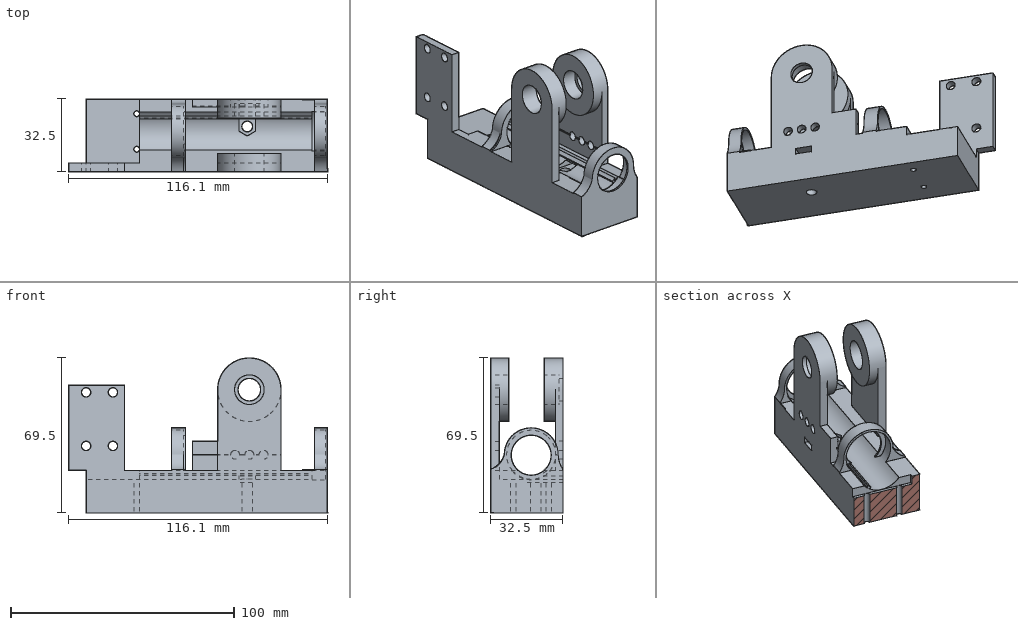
import cadquery as cq
import math

base_length = 108.0
base_width = 32.5
base_height = 19.2

step_length = 23.85
step_floor_z = 15.0
front_wall = 4.0
pin_hole_diameter = 2.5
pin_hole_x = 22.65
pin_hole_ys = (10.1, 26.0)

plate_overhang = 7.8
plate_length = 25.0
plate_top_z = 57.3
plate_hole_diameter = 4.06
plate_hole_xs = (0.0, 12.0)
plate_hole_zs = (30.1, 54.1)

tube_y = 18.2
tube_z = 26.15
cradle_radius = 11.0

relief_length = 1.05
relief_step = 0.25
relief_radius = cradle_radius + relief_step

strap_radius = 12.1
strap_foot_z = base_height + 0.4
flare_reach = 2.0
flare_fall = 3.6
front_strap_x = 38.2
front_strap_width = 6.35
end_strap_width = 5.8
end_strap_x = base_length - end_strap_width
relief_x = end_strap_x - relief_length

rim_thickness = 0.9
rim_bore_diameter = 17.8
rim_bore_z = tube_z - 0.2
front_rim_drop = 0.4

rail_inner_radius = 9.9
rail_upper_y = 25.1
rail_embed = 0.5
rail_lower_angle = math.radians(33)

lug_x = 73.1
lug_diameter = 28.48
lug_radius = lug_diameter / 2
overall_height = 69.54
lug_z = overall_height - lug_radius
front_lug_thickness = 8.2
rear_lug_thickness = 8.45
rear_wall = 3.5
pivot_bore_diameter = 13.25
pivot_hole_diameter = 10.0
rear_bore_depth = 6.5

boss_x = 47.6
boss_top_z = 32.2
slit_height = 0.4
slit_depth = 0.5
wall_hole_diameter = 4.0
wall_hole_spacing = 6.35

nut_x = 72.15
nut_y = 20.3
nut_corner_diameter = 8.5
nut_floor_z = 13.8
nut_slot_top_z = 16.6
nut_hole_diameter = 4.7

corner_lip_length = 0.3
corner_lip_width = 1.4
corner_lip_height = 0.2
rear_lip_x = 97.0
rear_lip_width = 0.25
rear_lip_height = 0.3


def block(x0, x1, y0, y1, z0, z1):
    """Box between two opposite corners."""
    return cq.Workplane("XY").box(x1 - x0, y1 - y0, z1 - z0, centered=False).translate((x0, y0, z0))


def cylinder_x(radius, x0, x1):
    """Cylinder on the tube axis."""
    return cq.Workplane("YZ", origin=(x0, tube_y, tube_z)).circle(radius).extrude(x1 - x0)


def cylinder_y(diameter, x, z, y0, y1):
    """Cylinder along Y."""
    return cq.Workplane("XZ", origin=(x, y0, z)).circle(diameter / 2).extrude(y0 - y1)


def cylinder_z(diameter, x, y, z0, z1):
    """Cylinder along Z."""
    return cq.Workplane("XY", origin=(x, y, z0)).circle(diameter / 2).extrude(z1 - z0)


def make_base():
    base = block(0, base_length, 0, base_width, 0, base_height)
    base = base.cut(block(0, step_length, front_wall, base_width, step_floor_z, base_height))
    base = base.cut(cylinder_x(cradle_radius, step_length, relief_x))
    base = base.cut(cylinder_x(relief_radius, relief_x, base_length - rim_thickness))
    for y in pin_hole_ys:
        base = base.cut(cylinder_z(pin_hole_diameter, pin_hole_x, y, 0, base_height))
    return base


def make_rail():
    """Raised strip on the rear cradle wall: upper side vertical, lower side radial."""
    def on_circle(radius, angle):
        return (tube_y + radius * math.sin(angle), tube_z - radius * math.cos(angle))

    root_radius = cradle_radius + rail_embed
    upper_offset = rail_upper_y - tube_y
    inner_upper_angle = math.asin(upper_offset / rail_inner_radius)
    root_upper_angle = math.asin(upper_offset / root_radius)
    return (
        cq.Workplane("YZ", origin=(step_length, 0, 0))
        .moveTo(*on_circle(root_radius, rail_lower_angle))
        .lineTo(*on_circle(rail_inner_radius, rail_lower_angle))
        .threePointArc(
            on_circle(rail_inner_radius, (rail_lower_angle + inner_upper_angle) / 2),
            on_circle(rail_inner_radius, inner_upper_angle),
        )
        .lineTo(*on_circle(root_radius, root_upper_angle))
        .close()
        .extrude(relief_x - step_length)
    )


def strap_blank(x0, width, drop=0.0):
    """Solid arch outline with flared feet; drop lowers the front flare."""
    front_flare = (tube_y - strap_radius - flare_reach, tube_z - flare_fall - drop)
    return (
        cq.Workplane("YZ", origin=(x0, 0, 0))
        .moveTo(0, base_height)
        .lineTo(0, strap_foot_z - drop / 2)
        .threePointArc(front_flare, (tube_y - strap_radius, tube_z))
        .threePointArc((tube_y, tube_z + strap_radius), (tube_y + strap_radius, tube_z))
        .tangentArcPoint((base_width, strap_foot_z), relative=False)
        .lineTo(base_width, base_height)
        .close()
        .extrude(width)
    )


def rim_bore(x0):
    """Cutter for the smaller bore through a strap rim."""
    bore = cq.Workplane("YZ", origin=(x0, tube_y, rim_bore_z)).circle(rim_bore_diameter / 2)
    return bore.extrude(rim_thickness)


def make_strap(x0, width, rim_drop=0.0):
    """Arch bored to the cradle radius, with a rim at its right end."""
    rim_x = x0 + width - rim_thickness
    arch = strap_blank(x0, width - rim_thickness).cut(cylinder_x(cradle_radius, x0, rim_x))
    rim = strap_blank(rim_x, rim_thickness, rim_drop).cut(rim_bore(rim_x))
    return arch.union(rim)


def make_plate():
    x1 = plate_length - plate_overhang
    plate = block(-plate_overhang, x1, 0, front_wall, base_height, plate_top_z)
    for x in plate_hole_xs:
        for z in plate_hole_zs:
            plate = plate.cut(cylinder_y(plate_hole_diameter, x, z, 0, front_wall))
    return plate


def make_lug(disc_y0, disc_y1, web_y0, web_y1):
    """Round eye on a thinner upright web."""
    web = block(lug_x - lug_radius, lug_x + lug_radius, web_y0, web_y1, base_height, lug_z)
    return web.union(cylinder_y(lug_diameter, lug_x, lug_z, disc_y0, disc_y1))


def make_front_lug():
    lug = make_lug(0, front_lug_thickness, 0, front_wall)
    return lug.cut(cylinder_y(pivot_bore_diameter, lug_x, lug_z, 0, front_lug_thickness))


def make_rear_lug():
    eye_y = base_width - rear_lug_thickness
    wall_y = base_width - rear_wall
    lug = make_lug(eye_y, base_width, wall_y, base_width)
    lug = lug.cut(cylinder_y(pivot_hole_diameter, lug_x, lug_z, eye_y, base_width))
    lug = lug.cut(cylinder_y(pivot_bore_diameter, lug_x, lug_z, eye_y, eye_y + rear_bore_depth))
    lug = lug.union(block(boss_x, lug_x, wall_y, base_width, base_height, boss_top_z))
    slit_z = tube_z - slit_height / 2
    lug = lug.cut(
        block(boss_x, lug_x + lug_radius, wall_y, wall_y + slit_depth, slit_z, slit_z + slit_height)
    )
    for step in (-1, 0, 1):
        x = lug_x + step * wall_hole_spacing
        lug = lug.cut(cylinder_y(wall_hole_diameter, x, tube_z, wall_y, base_width))
    return lug


def make_nut_trap():
    """Hexagonal pocket, corner to the front, with a slot to the rear face and a through hole."""
    pocket = (
        cq.Workplane("XY")
        .polygon(6, nut_corner_diameter)
        .extrude(nut_slot_top_z - nut_floor_z)
        .rotate((0, 0, 0), (0, 0, 1), 30)
        .translate((nut_x, nut_y, nut_floor_z))
    )
    half_flats = nut_corner_diameter / 2 * math.cos(math.pi / 6)
    slot = block(nut_x - half_flats, nut_x + half_flats, nut_y, base_width, nut_floor_z, nut_slot_top_z)
    hole = cylinder_z(nut_hole_diameter, nut_x, nut_y, 0, nut_floor_z)
    return pocket.union(slot).union(hole)


def make_lips():
    """Small lip at the lower front corner and a thin lip along the rear top edge."""
    corner_lip = block(
        base_length, base_length + corner_lip_length, 0, corner_lip_width, 0, corner_lip_height
    )
    rear_lip = block(
        rear_lip_x, base_length, base_width - rear_lip_width, base_width,
        base_height, base_height + rear_lip_height,
    )
    return corner_lip.union(rear_lip)


result = make_base()
result = result.union(make_rail())
result = result.union(make_strap(front_strap_x, front_strap_width, front_rim_drop))
result = result.union(make_strap(end_strap_x, end_strap_width))
result = result.cut(rim_bore(base_length - rim_thickness))
result = result.union(make_plate())
result = result.union(make_front_lug())
result = result.union(make_rear_lug())
result = result.cut(make_nut_trap())
result = result.union(make_lips())